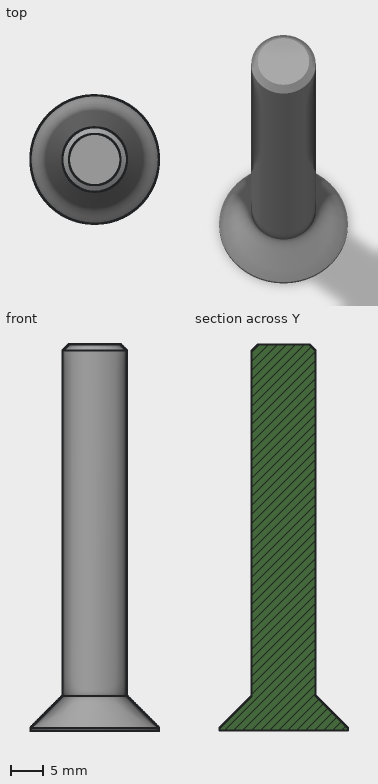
import cadquery as cq

total_length = 60.0
head_diameter = 20.0
shank_diameter = 10.0
rim_height = 0.5
tip_chamfer = 1.0

head_radius = head_diameter / 2
shank_radius = shank_diameter / 2
cone_height = head_radius - shank_radius
head_height = rim_height + cone_height

half_section = (
    cq.Workplane("XZ")
    .lineTo(head_radius, 0)
    .lineTo(head_radius, rim_height)
    .lineTo(shank_radius, head_height)
    .lineTo(shank_radius, total_length - tip_chamfer)
    .lineTo(shank_radius - tip_chamfer, total_length)
    .lineTo(0, total_length)
    .close()
)

result = half_section.revolve(360, (0, 0, 0), (0, 1, 0))